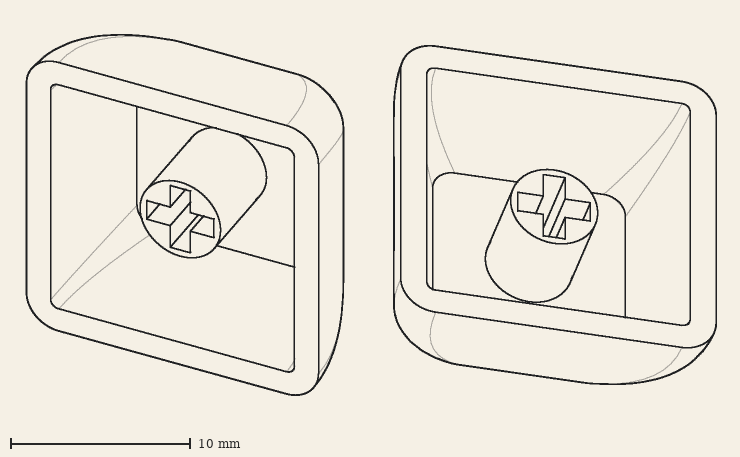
import cadquery as cq

RIM_WIDTH = 18.1
END_WIDTH = 12.78
CAP_HEIGHT = 8.3
RIM_CORNER_RADIUS = 2.0
END_CORNER_RADIUS = 2.7
WALL = 1.5

OPENING_WIDTH = RIM_WIDTH - 2 * WALL
OPENING_CORNER_RADIUS = RIM_CORNER_RADIUS - WALL
FLOOR_WIDTH = 11.06
FLOOR_CORNER_RADIUS = 1.27

STEM_DIAMETER = 5.0
STEM_RECESS = 1.0
CROSS_LENGTH = 4.16
CROSS_ARM_WIDTH = 1.25

RIM_Y = -CAP_HEIGHT / 2
FLOOR_Y = CAP_HEIGHT / 2 - WALL
STEM_START_Y = RIM_Y + STEM_RECESS
STEM_LENGTH = FLOOR_Y - STEM_START_Y


def plane_at(y):
    """Plane across the part at the given Y, with its normal along +Y."""
    return cq.Plane(origin=(0, y, 0), xDir=(1, 0, 0), normal=(0, 1, 0))


def curved_block(depth, rim_width, end_width, rim_radius, end_radius):
    """Rounded-square block from the rim plane toward +Y.

    Width and corner radius follow parabolas, so the sides leave the rim straight along Y.
    """
    sections = []
    for fraction in (0, 0.5, 1):
        blend = fraction**2
        width = rim_width + (end_width - rim_width) * blend
        radius = rim_radius + (end_radius - rim_radius) * blend
        sketch = cq.Sketch().rect(width, width).vertices().fillet(radius)
        sections.append(sketch.moved(cq.Location(cq.Vector(0, 0, fraction * depth))))
    return cq.Workplane(plane_at(RIM_Y)).placeSketch(*sections).loft()


def make_cap():
    outer = curved_block(CAP_HEIGHT, RIM_WIDTH, END_WIDTH, RIM_CORNER_RADIUS, END_CORNER_RADIUS)
    cavity = curved_block(
        CAP_HEIGHT - WALL, OPENING_WIDTH, FLOOR_WIDTH, OPENING_CORNER_RADIUS, FLOOR_CORNER_RADIUS
    )
    return outer.cut(cavity)


def make_stem():
    stem = cq.Workplane(plane_at(STEM_START_Y)).circle(STEM_DIAMETER / 2).extrude(STEM_LENGTH)
    for arm_size in ((CROSS_LENGTH, CROSS_ARM_WIDTH), (CROSS_ARM_WIDTH, CROSS_LENGTH)):
        arm = cq.Workplane(plane_at(STEM_START_Y)).rect(*arm_size).extrude(STEM_LENGTH)
        stem = stem.cut(arm)
    return stem


cap = make_cap()
stem = make_stem()

result = cq.Compound.makeCompound([cap.solids().val(), stem.solids().val()])